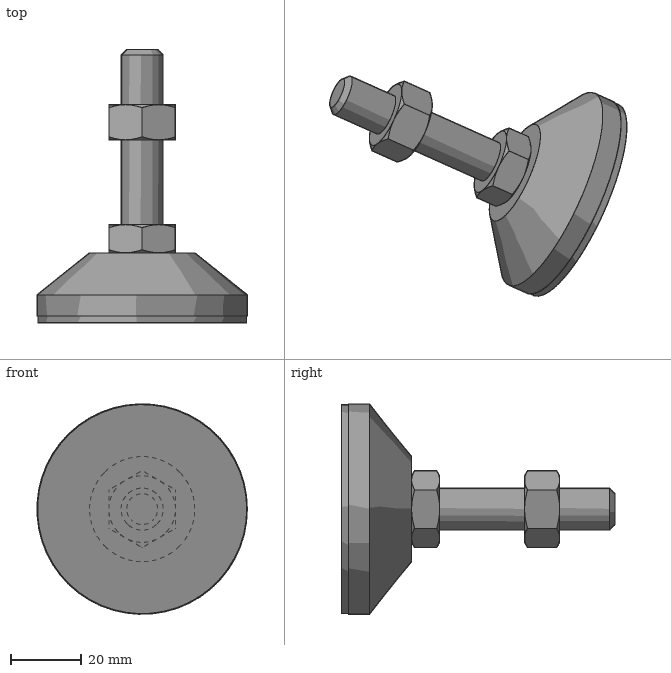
import cadquery as cq
import math

overall_length = 78.0

base_diameter = 60.0
pad_diameter = 59.6
pad_thickness = 2.0
rim_top = 8.0
base_top = 20.0
cone_top_diameter = 30.0

stud_diameter = 12.0
tip_chamfer = 1.6

hex_sides = 6
quarter_turn = 90.0
across_flats = 19.0
across_corners = across_flats / math.cos(math.pi / hex_sides)
stud_hex_height = 8.0
lock_nut_start = 52.2
lock_nut_height = 10.0
hex_chamfer_angle = 30.0


def revolved(half_profile):
    """Revolve a (radius, y) outline about the Y axis."""
    return cq.Workplane("XY").polyline(half_profile).close().revolve(360, (0, 0, 0), (0, 1, 0))


def make_base():
    """Slightly recessed pad, cylindrical rim and cone."""
    pad_radius = pad_diameter / 2
    base_radius = base_diameter / 2
    return revolved([
        (0, 0),
        (pad_radius, 0),
        (pad_radius, pad_thickness),
        (base_radius, pad_thickness),
        (base_radius, rim_top),
        (cone_top_diameter / 2, base_top),
        (0, base_top),
    ])


def make_stud():
    """Round stud with a 45 degree chamfer at its free end."""
    stud_radius = stud_diameter / 2
    return revolved([
        (0, base_top),
        (stud_radius, base_top),
        (stud_radius, overall_length - tip_chamfer),
        (stud_radius - tip_chamfer, overall_length),
        (0, overall_length),
    ])


def make_hexagon(start, height):
    """Hexagon with corners on the Z axis, its corners trimmed conically at both ends."""
    corner_radius = across_corners / 2
    face_radius = across_flats / 2
    end = start + height
    trim = (corner_radius - face_radius) * math.tan(math.radians(hex_chamfer_angle))
    prism = (
        cq.Workplane("XZ", origin=(0, start, 0))
        .transformed(rotate=(0, 0, quarter_turn))
        .polygon(hex_sides, across_corners)
        .extrude(-height)
    )
    envelope = revolved([
        (0, start),
        (face_radius, start),
        (corner_radius, start + trim),
        (corner_radius, end - trim),
        (face_radius, end),
        (0, end),
    ])
    return prism.intersect(envelope)


stud_hex = make_hexagon(base_top, stud_hex_height)
lock_nut = make_hexagon(lock_nut_start, lock_nut_height)

result = make_base().union(make_stud()).union(stud_hex).union(lock_nut)